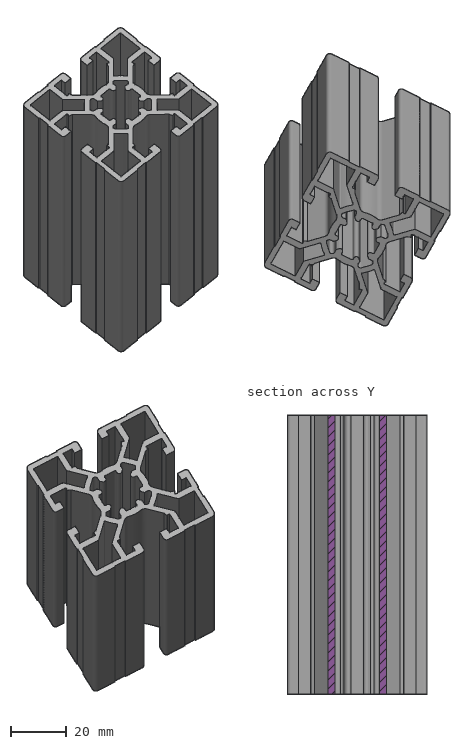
import cadquery as cq
import math

length = 100.0
side = 50.0
half = side / 2
corner_radius = 1.5

mouth_half_width = 4.1
lip_half_width = 7.1
lip_tip = 21.0
lip_radius = 1.2
skin_inner = 22.9
slot_half_width = 10.7

shelf_height = 16.5
shelf_end = 9.9
bead_x = 9.6
bead_y = 16.8
bead_foot_x = 9.1

web_outer_offset = 6.2
web_inner_offset = 3.5
core_radius = 10.5
floor_fillet = 2.2

chamber_inner = 13.0
chamber_end_radius = 13.1
chamber_fillet = 0.4

bore_half_width = 7.9
bump_x = 3.3
bump_y = 7.0
bump_radius = 1.0
bump_root_radius = 0.4
neck_x = 4.8
lobe_x = 5.8
lobe_y = 8.3
lobe_radius = 1.0

groove_near = 12.2
groove_far = 16.6
groove_ramp = 0.3
groove_depth = 0.3


def turned(point, turn):
    """Rotate a point about the profile axis by a number of quarter turns."""
    x, y = point
    for _ in range(turn):
        x, y = -y, x
    return x, y


def four_around(body):
    """Repeat a body at quarter turns about the profile axis."""
    copies = cq.Workplane()
    for turn in range(4):
        copies = copies.add(body.rotate((0, 0, 0), (0, 0, 1), 90 * turn))
    return copies.combine()


def fillet_at(body, point, radius):
    """Round the lengthwise edge that passes through a point of the cross-section."""
    edge = cq.selectors.NearestToPointSelector((*point, length / 2))
    return body.edges(edge).fillet(radius)


def on_arc(x, y, radius, degrees):
    angle = math.radians(degrees)
    return x + radius * math.cos(angle), y + radius * math.sin(angle)


def line_meets_circle(offset, radius):
    """Upper point where the line y = x + offset crosses a circle about the axis."""
    x = (math.sqrt(2 * radius**2 - offset**2) - offset) / 2
    return x, x + offset


def slot():
    root = line_meets_circle(web_outer_offset, core_radius)
    right_side = [
        (mouth_half_width, half),
        (mouth_half_width, lip_tip),
        (lip_half_width, lip_tip),
        (lip_half_width, skin_inner),
        (slot_half_width, skin_inner),
        (slot_half_width, shelf_height),
        (shelf_end, shelf_height),
        (bead_x, bead_y),
        (bead_foot_x, bead_foot_x + web_outer_offset),
        root,
    ]
    left_side = [(-x, y) for x, y in reversed(right_side)]
    void = (
        cq.Workplane()
        .polyline(right_side)
        .threePointArc((0, core_radius), left_side[0])
        .polyline(left_side[1:], includeCurrent=True)
        .close()
        .extrude(length)
    )
    void = fillet_at(void, root, floor_fillet)
    return fillet_at(void, left_side[0], floor_fillet)


def chamber():
    tip_near, tip_far = line_meets_circle(web_inner_offset, chamber_end_radius)
    elbow = chamber_inner + web_inner_offset
    void = (
        cq.Workplane()
        .moveTo(skin_inner, skin_inner)
        .lineTo(chamber_inner, skin_inner)
        .lineTo(chamber_inner, elbow)
        .lineTo(tip_near, tip_far)
        .threePointArc(on_arc(0, 0, chamber_end_radius, 45), (tip_far, tip_near))
        .lineTo(elbow, chamber_inner)
        .lineTo(skin_inner, chamber_inner)
        .close()
        .extrude(length)
    )
    void = fillet_at(void, (tip_near, tip_far), chamber_fillet)
    return fillet_at(void, (tip_far, tip_near), chamber_fillet)


def add_bore_quarter(outline, turn):
    """Continue the bore outline clockwise from one flat, across a diagonal, to the next flat."""
    side_x = bump_x - bump_radius
    root_x = side_x - bump_root_radius
    root_y = bore_half_width - bump_root_radius
    flat_end = (root_x, bore_half_width)
    root_middle = on_arc(root_x, root_y, bump_root_radius, 45)
    root_end = (side_x, root_y)
    bump_start = (side_x, bump_y)
    bump_middle = on_arc(bump_x, bump_y, bump_radius, (180 + 315) / 2)
    bump_end = on_arc(bump_x, bump_y, bump_radius, 315)
    neck = (neck_x, neck_x + bump_end[1] - bump_end[0])
    lobe_start = (lobe_x - lobe_radius, lobe_y)
    lobe_middle = on_arc(lobe_x, lobe_y, lobe_radius, (180 + 45) / 2)
    lobe_end = on_arc(lobe_x, lobe_y, lobe_radius, 45)

    def ahead(point):
        return turned(point, turn)

    def back(point):
        """The same point mirrored across the diagonal."""
        return turned((point[1], point[0]), turn)

    return (
        outline.lineTo(*ahead(flat_end))
        .threePointArc(ahead(root_middle), ahead(root_end))
        .lineTo(*ahead(bump_start))
        .threePointArc(ahead(bump_middle), ahead(bump_end))
        .lineTo(*ahead(neck))
        .lineTo(*ahead(lobe_start))
        .threePointArc(ahead(lobe_middle), ahead(lobe_end))
        .lineTo(*back(lobe_end))
        .threePointArc(back(lobe_middle), back(lobe_start))
        .lineTo(*back(neck))
        .lineTo(*back(bump_end))
        .threePointArc(back(bump_middle), back(bump_start))
        .lineTo(*back(root_end))
        .threePointArc(back(root_middle), back(flat_end))
    )


def bore():
    outline = cq.Workplane().moveTo(0, bore_half_width)
    for turn in (0, 3, 2, 1):
        outline = add_bore_quarter(outline, turn)
    return outline.close().extrude(length)


def groove_pair():
    floor = half - groove_depth
    outline = [
        (groove_near, half),
        (groove_near, floor),
        (groove_far - groove_ramp, floor),
        (groove_far, half),
    ]
    groove = cq.Workplane().polyline(outline).close().extrude(length)
    return groove.union(groove.mirror("YZ"))


profile = cq.Workplane().rect(side, side).extrude(length).edges("|Z").fillet(corner_radius)
profile = profile.cut(four_around(slot()))
for quarter in range(4):
    for lip_x in (mouth_half_width, -mouth_half_width):
        profile = fillet_at(profile, turned((lip_x, half), quarter), lip_radius)
profile = profile.cut(four_around(chamber()))
profile = profile.cut(bore())
result = profile.cut(four_around(groove_pair()))